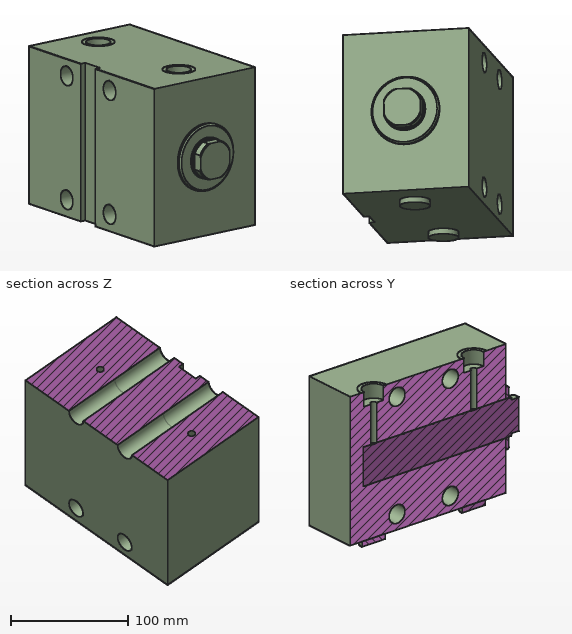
import cadquery as cq

TOTAL_LENGTH = 187.0
TOTAL_HEIGHT = 145.0
BLOCK_WIDTH = 110.0

BLOCK_LENGTH = 172.6
BLOCK_HEIGHT = 140.0
EDGE_CHAMFER = 0.4
KEYWAY_WIDTH = 20.0
KEYWAY_DEPTH = 4.9
KEYWAY_CENTRE_X = 81.5

BOLT_HOLE_DIAMETER = 17.0
BOLT_HOLE_CENTRE_X = KEYWAY_CENTRE_X
BOLT_HOLE_SPACING_X = 58.9
BOLT_HOLE_SPACING_Z = 110.0

PORT_XS = [26.2, 136.9]
SPOTFACE_DIAMETER = 28.0
SPOTFACE_DEPTH = 0.2
PORT_DIAMETER = 21.1
PORT_DEPTH = 13.7
PORT_PASSAGE_DIAMETER = 6.0

PLUG_DIAMETER = 26.0
PLUG_HEIGHT = TOTAL_HEIGHT - BLOCK_HEIGHT

GLAND_DIAMETER = 59.5
GLAND_THICKNESS = 3.5
GLAND_CHAMFER = 1.5

AXIS_Z = BLOCK_HEIGHT / 2
ROD_DIAMETER = 36.3
ROD_START_X = 15.0
ROD_SHOULDER_X = 179.0
ROD_SHOULDER_CHAMFER = 0.7
ROD_NOSE_DIAMETER = 35.0
ROD_NOSE_CHAMFER = 0.7
NOSE_ACROSS_FLATS = 32.0


def turned(profile):
    """Revolve an (x, radius) outline about the rod axis."""
    return (
        cq.Workplane("XZ", origin=(0, 0, AXIS_Z))
        .polyline(profile)
        .close()
        .revolve(360, (0, 0, 0), (1, 0, 0))
    )


def rod_bore():
    """The cylinder that the rod fills inside the block and the gland."""
    radius = ROD_DIAMETER / 2
    return turned([(ROD_START_X, 0), (ROD_START_X, radius), (TOTAL_LENGTH, radius), (TOTAL_LENGTH, 0)])


def make_block():
    block = cq.Workplane("XY").box(BLOCK_LENGTH, BLOCK_WIDTH, BLOCK_HEIGHT, centered=(False, True, False))

    block = block.faces("<Y").edges(">Z").chamfer(EDGE_CHAMFER)

    keyway = (
        cq.Workplane("XY")
        .center(KEYWAY_CENTRE_X, -BLOCK_WIDTH / 2)
        .rect(KEYWAY_WIDTH, 2 * KEYWAY_DEPTH)
        .extrude(BLOCK_HEIGHT)
    )
    block = block.cut(keyway)

    bolt_holes = (
        cq.Workplane("XZ", origin=(BOLT_HOLE_CENTRE_X, 0, AXIS_Z))
        .rect(BOLT_HOLE_SPACING_X, BOLT_HOLE_SPACING_Z, forConstruction=True)
        .vertices()
        .circle(BOLT_HOLE_DIAMETER / 2)
        .extrude(BLOCK_WIDTH, both=True)
    )
    block = block.cut(bolt_holes)

    ports = cq.Workplane("XY", origin=(0, 0, BLOCK_HEIGHT)).pushPoints([(x, 0) for x in PORT_XS])
    for diameter, depth in [
        (SPOTFACE_DIAMETER, SPOTFACE_DEPTH),
        (PORT_DIAMETER, PORT_DEPTH),
        (PORT_PASSAGE_DIAMETER, BLOCK_HEIGHT - AXIS_Z),
    ]:
        block = block.cut(ports.circle(diameter / 2).extrude(-depth))

    return block.cut(rod_bore())


def make_gland():
    radius = GLAND_DIAMETER / 2
    end_x = BLOCK_LENGTH + GLAND_THICKNESS
    disc = turned([
        (BLOCK_LENGTH, 0),
        (BLOCK_LENGTH, radius),
        (end_x - GLAND_CHAMFER, radius),
        (end_x, radius - GLAND_CHAMFER),
        (end_x, 0),
    ])
    return disc.cut(rod_bore())


def make_rod():
    radius = ROD_DIAMETER / 2
    nose_radius = ROD_NOSE_DIAMETER / 2
    shaft = turned([
        (ROD_START_X, 0),
        (ROD_START_X, radius),
        (ROD_SHOULDER_X - ROD_SHOULDER_CHAMFER, radius),
        (ROD_SHOULDER_X, radius - ROD_SHOULDER_CHAMFER),
        (ROD_SHOULDER_X, 0),
    ])
    nose = turned([
        (ROD_SHOULDER_X, 0),
        (ROD_SHOULDER_X, nose_radius),
        (TOTAL_LENGTH - ROD_NOSE_CHAMFER, nose_radius),
        (TOTAL_LENGTH, nose_radius - ROD_NOSE_CHAMFER),
        (TOTAL_LENGTH, 0),
    ])
    square = (
        cq.Workplane("YZ", origin=(ROD_SHOULDER_X, 0, AXIS_Z))
        .rect(NOSE_ACROSS_FLATS, NOSE_ACROSS_FLATS)
        .extrude(TOTAL_LENGTH - ROD_SHOULDER_X)
    )
    return shaft.union(nose.intersect(square))


def make_plug(x):
    return cq.Workplane("XY", origin=(x, 0, 0)).circle(PLUG_DIAMETER / 2).extrude(-PLUG_HEIGHT)


block = make_block()
gland = make_gland()
rod = make_rod()
plugs = [make_plug(x) for x in PORT_XS]

result = cq.Compound.makeCompound([block.val(), gland.val(), rod.val(), *[plug.val() for plug in plugs]])